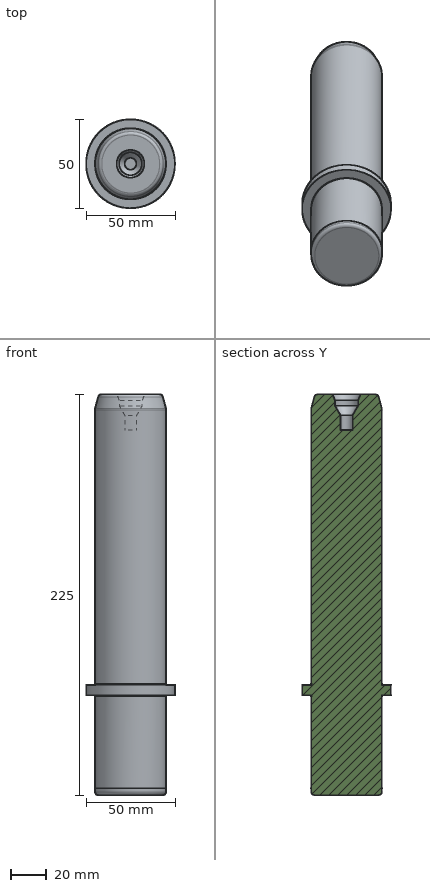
import cadquery as cq
import math

total_length = 225.0
shank_radius = 20.0
collar_radius = 25.0
collar_bottom = 56.0
collar_thickness = 6.0
collar_top = collar_bottom + collar_thickness

relief_width = 0.5
relief_radius = shank_radius - 0.2

lower_end_round = 2.0
lead_height = 4.0
lead_radius = shank_radius - 0.02

taper_angle = math.radians(15.0)
taper_length = 8.2
taper_small_radius = shank_radius - taper_length * math.tan(taper_angle)
taper_start = total_length - taper_length
taper_root_round = 3.5
upper_end_round = 2.0

countersink_radius = 7.8
countersink_depth = 3.4
bore_radius = 6.4
bore_depth = 6.4
pilot_radius = 3.3
pilot_depth = 20.0
cone_half_angle = math.radians(30.0)
cone_depth = bore_depth + (bore_radius - pilot_radius) / math.tan(cone_half_angle)

selection_margin = 0.01


def revolve_about_axis(profile):
    """Turn a closed radius-height outline about the Z axis."""
    return profile.close().revolve(360, (0, 0, 0), (0, 1, 0))


def round_ring_edge(body, radius, height, round_size):
    """Round the circular edge of the given radius at the given height."""
    reach = radius + selection_margin
    ring = cq.selectors.BoxSelector(
        (-reach, -reach, height - selection_margin),
        (reach, reach, height + selection_margin),
        boundingbox=True,
    )
    return body.edges(ring).fillet(round_size)


def make_body():
    body = revolve_about_axis(
        cq.Workplane("XZ")
        .lineTo(lead_radius, 0)
        .lineTo(lead_radius, lead_height)
        .lineTo(shank_radius, lead_height)
        .lineTo(shank_radius, collar_bottom - relief_width)
        .lineTo(relief_radius, collar_bottom - relief_width)
        .lineTo(relief_radius, collar_bottom)
        .lineTo(collar_radius, collar_bottom)
        .lineTo(collar_radius, collar_top)
        .lineTo(relief_radius, collar_top)
        .lineTo(relief_radius, collar_top + relief_width)
        .lineTo(shank_radius, collar_top + relief_width)
        .lineTo(shank_radius, taper_start)
        .lineTo(taper_small_radius, total_length)
        .lineTo(0, total_length)
    )
    body = round_ring_edge(body, lead_radius, 0, lower_end_round)
    body = round_ring_edge(body, shank_radius, taper_start, taper_root_round)
    return round_ring_edge(body, taper_small_radius, total_length, upper_end_round)


def make_centre_hole():
    return revolve_about_axis(
        cq.Workplane("XZ")
        .moveTo(0, total_length)
        .lineTo(countersink_radius, total_length)
        .lineTo(bore_radius, total_length - countersink_depth)
        .lineTo(bore_radius, total_length - bore_depth)
        .lineTo(pilot_radius, total_length - cone_depth)
        .lineTo(pilot_radius, total_length - pilot_depth)
        .lineTo(0, total_length - pilot_depth)
    )


result = make_body().cut(make_centre_hole())